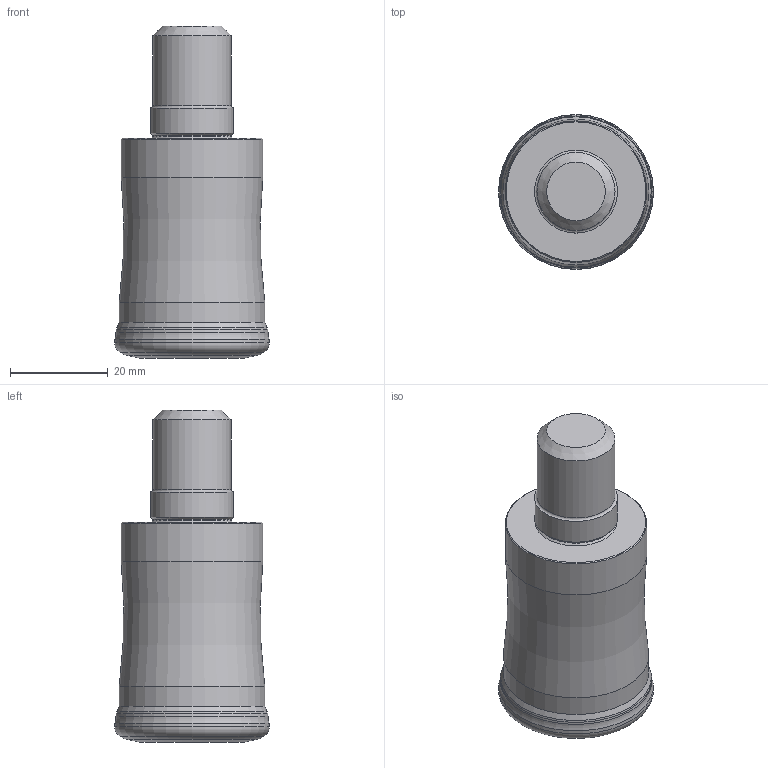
import cadquery as cq
import math


total_height = 68.0
face_height = 45.0
joint_height = 5.75

stud_radius = 8.0
stud_chamfer = 2.0
pilot_radius = 8.5
pilot_top = 51.2
pilot_bottom = 46.0
pilot_fillet = pilot_radius - stud_radius
neck_radius = 8.0
neck_top = 45.6
neck_bottom = 45.4
neck_foot_radius = 8.4

flange_radius = 14.5
flange_chamfer = 0.2
flange_bottom = 37.0
waist_radius = 13.98
waist_height = 25.5
base_radius = 14.9
base_top = 11.45
base_bottom = 7.3
flare_radius = 15.4
flare_bottom = 6.15
joint_radius = 15.5

lip_radius = 15.57
lip_bottom = 5.3
flank_mid_radius = 15.65
flank_mid_height = 4.5
shoulder_radius = 15.82
shoulder_height = 3.85
max_radius = 15.875
max_radius_height = 3.1
corner_mid_radius = 15.55
corner_mid_height = 1.95
corner_end_radius = 14.65
corner_end_height = 1.15
lower_mid_radius = 14.07
lower_mid_height = 0.8
lower_end_radius = 13.4
lower_end_height = 0.56
tip_flat_radius = 10.8


def make_holder():
    """Stud, pilot collar, neck, flange, waisted shank and flare in one turned profile."""
    fillet_reach = pilot_fillet * (1 - math.sqrt(0.5))
    profile = (
        cq.Workplane("XZ")
        .moveTo(0, total_height)
        .lineTo(stud_radius - stud_chamfer, total_height)
        .lineTo(stud_radius, total_height - stud_chamfer)
        .lineTo(stud_radius, pilot_top + pilot_fillet)
        .threePointArc(
            (stud_radius + fillet_reach, pilot_top + fillet_reach),
            (pilot_radius, pilot_top),
        )
        .lineTo(pilot_radius, pilot_bottom)
        .lineTo(neck_radius, neck_top)
        .lineTo(neck_radius, neck_bottom)
        .lineTo(neck_foot_radius, face_height)
        .lineTo(flange_radius - flange_chamfer, face_height)
        .lineTo(flange_radius, face_height - flange_chamfer)
        .lineTo(flange_radius, flange_bottom)
        .threePointArc((waist_radius, waist_height), (base_radius, base_top))
        .lineTo(base_radius, base_bottom)
        .lineTo(flare_radius, flare_bottom)
        .lineTo(joint_radius, joint_height)
        .lineTo(0, joint_height)
        .close()
    )
    return profile.revolve(360, (0, 0, 0), (0, 1, 0))


def make_cutting_head():
    """Disc with a slightly hollow flank, a rounded cutting corner and a shallow cone below."""
    profile = (
        cq.Workplane("XZ")
        .moveTo(0, joint_height)
        .lineTo(joint_radius, joint_height)
        .lineTo(lip_radius, lip_bottom)
        .threePointArc((flank_mid_radius, flank_mid_height), (shoulder_radius, shoulder_height))
        .lineTo(max_radius, max_radius_height)
        .threePointArc(
            (corner_mid_radius, corner_mid_height),
            (corner_end_radius, corner_end_height),
        )
        .threePointArc(
            (lower_mid_radius, lower_mid_height),
            (lower_end_radius, lower_end_height),
        )
        .lineTo(tip_flat_radius, 0)
        .lineTo(0, 0)
        .close()
    )
    return profile.revolve(360, (0, 0, 0), (0, 1, 0))


holder = make_holder()
cutting_head = make_cutting_head()

result = cq.Compound.makeCompound([holder.val(), cutting_head.val()])